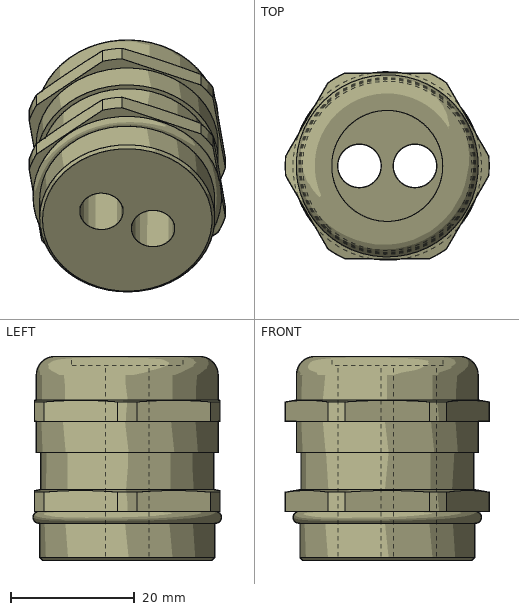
import cadquery as cq
import math

total_height = 33.0
thread_radius = 14.15
thread_chamfer = 0.45
neck_radius = 14.0
cap_radius = 14.72
cap_bottom = 17.42
cap_rounding = 3.05

ring_outer_radius = 15.25
ring_height = 1.9
ring_section_radius = ring_height / 2

hex_across_flats = 30.03
hex_corner_radius = 16.5
hex_top_slope = math.radians(10)
lower_hex_bottom = 7.92
lower_hex_top = 11.5
upper_hex_bottom = 22.47
upper_hex_top = 25.95

recess_radius = 8.98
recess_depth = 1.52
cable_hole_radius = 3.5
cable_hole_spacing = 8.98


def cylinder(radius, bottom, top):
    return cq.Workplane("XY").workplane(offset=bottom).circle(radius).extrude(top - bottom)


def wrench_hexagon(bottom, top, body_radius):
    """Hexagon with corners turned round and a top that slopes down from the body."""
    across_corners = hex_across_flats / math.cos(math.radians(30))
    prism = cq.Workplane("XY").workplane(offset=bottom).polygon(6, across_corners).extrude(top - bottom)
    edge_top = top - (hex_corner_radius - body_radius) * math.tan(hex_top_slope)
    turned_blank = (
        cq.Workplane("XZ")
        .moveTo(0, bottom)
        .lineTo(hex_corner_radius, bottom)
        .lineTo(hex_corner_radius, edge_top)
        .lineTo(body_radius, top)
        .lineTo(0, top)
        .close()
        .revolve(360, (0, 0), (0, 1))
    )
    return prism.intersect(turned_blank)


def sealing_ring():
    """Disc with a half-round rim."""
    bottom = lower_hex_bottom - ring_height
    rim_center = ring_outer_radius - ring_section_radius
    return (
        cq.Workplane("XZ")
        .moveTo(0, bottom)
        .lineTo(rim_center, bottom)
        .threePointArc((ring_outer_radius, bottom + ring_section_radius), (rim_center, lower_hex_bottom))
        .lineTo(0, lower_hex_bottom)
        .close()
        .revolve(360, (0, 0), (0, 1))
    )


thread = cylinder(thread_radius, 0, lower_hex_bottom).faces("<Z").chamfer(thread_chamfer)
neck = cylinder(neck_radius, lower_hex_bottom, cap_bottom)
cap = cylinder(cap_radius, cap_bottom, total_height).faces(">Z").edges().fillet(cap_rounding)

body = (
    thread.union(neck)
    .union(cap)
    .union(sealing_ring())
    .union(wrench_hexagon(lower_hex_bottom, lower_hex_top, neck_radius))
    .union(wrench_hexagon(upper_hex_bottom, upper_hex_top, cap_radius))
)

recess = cylinder(recess_radius, total_height - recess_depth, total_height)
cable_holes = (
    cq.Workplane("XY")
    .rarray(cable_hole_spacing, 0.33, 2, 1)
    .circle(cable_hole_radius)
    .extrude(total_height)
)

result = body.cut(recess).cut(cable_holes)